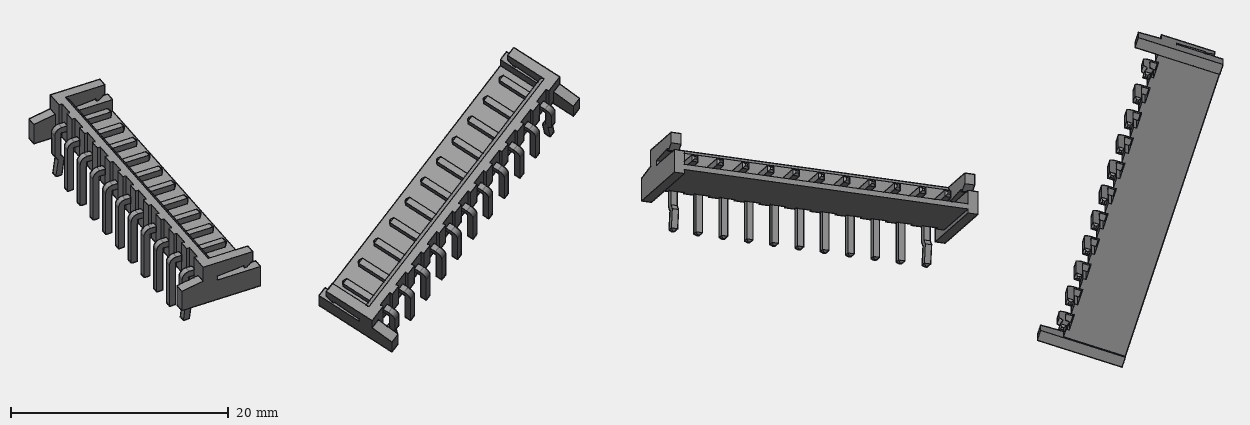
import cadquery as cq


pin_count = 11
length = 30.0
pitch = length / (pin_count + 1)

body_height = 4.2
body_depth = 5.97
end_wall = 1.0
long_wall = 1.47
underside = 0.4
floor_top = 0.9
lead_in = 0.42

recess_width = 1.5
recess_depth = 0.3

arm_reach = 2.22
arm_tip_top = 2.22
arm_root_top = 2.6
slot_bottom = 2.22
slot_end_top = 2.67
roof_end_y = 4.23
roof_end_z = 2.9
barb_z = 2.65
barb_front_y = 4.3
barb_back_y = 4.5
latch_back = 5.15
latch_tip_z = 3.15

pin_size = 0.63
pin_top = 2.4
pin_end_y = 5.0
pin_outer_y = -1.02
pin_bottom = -3.2
bend_outer_radius = 0.72
bend_inner_radius = bend_outer_radius - pin_size
tip_chamfer = 0.2

kink_start_z = -0.7
kink_peak_z = -1.2
kink_peak_shift = 0.35
kink_tip_shift = 0.1

cavity_length = length - 2 * end_wall
pin_inner_y = pin_outer_y + pin_size
pin_positions = [(i - (pin_count - 1) / 2) * pitch for i in range(pin_count)]


def prism(points, width, center_x):
    """Extrude a Y-Z outline along X, centred on center_x."""
    plane = cq.Workplane("YZ", origin=(center_x - width / 2, 0, 0))
    return plane.polyline(points).close().extrude(width)


def make_trough():
    """Floor and long wall, with a 45 degree lead-in on the wall's inner top edge."""
    return prism(
        [
            (0, underside),
            (body_depth, underside),
            (body_depth, floor_top),
            (long_wall, floor_top),
            (long_wall, body_height - lead_in),
            (long_wall - lead_in, body_height),
            (0, body_height),
        ],
        cavity_length,
        0,
    )


def make_end_wall(center_x):
    """End wall with forward arm, tapering slot and barbed latch."""
    return prism(
        [
            (-arm_reach, 0),
            (body_depth, 0),
            (body_depth, slot_bottom),
            (long_wall, slot_bottom),
            (long_wall, slot_end_top),
            (roof_end_y, roof_end_z),
            (barb_front_y, barb_z),
            (barb_back_y, barb_z),
            (latch_back, latch_tip_z),
            (latch_back, body_height),
            (0, body_height),
            (0, arm_root_top),
            (-arm_reach, arm_tip_top),
        ],
        end_wall,
        center_x,
    )


def make_recess(center_x):
    """Full-height cutter for the groove behind one pin."""
    return prism(
        [
            (0, underside),
            (recess_depth, underside),
            (recess_depth, body_height),
            (0, body_height),
        ],
        recess_width,
        center_x,
    )


def make_pin(center_x, kinked):
    """Square pin: horizontal contact, right-angle bend and leg, chamfered at both ends."""
    tip_shift = kink_tip_shift if kinked else 0
    front_kink = []
    back_kink = []
    if kinked:
        front_kink = [
            (pin_outer_y, kink_start_z),
            (pin_outer_y + kink_peak_shift, kink_peak_z),
        ]
        back_kink = [
            (pin_inner_y + kink_peak_shift, kink_peak_z),
            (pin_inner_y, kink_start_z),
        ]
    outline = [
        (pin_end_y, pin_top),
        (pin_outer_y, pin_top),
        *front_kink,
        (pin_outer_y + tip_shift, pin_bottom),
        (pin_inner_y + tip_shift, pin_bottom),
        *back_kink,
        (pin_inner_y, pin_top - pin_size),
        (pin_end_y, pin_top - pin_size),
    ]
    pin = prism(outline, pin_size, center_x)
    outer_corner = cq.NearestToPointSelector((center_x, pin_outer_y, pin_top))
    inner_corner = cq.NearestToPointSelector((center_x, pin_inner_y, pin_top - pin_size))
    pin = pin.edges("|X").edges(outer_corner).fillet(bend_outer_radius)
    pin = pin.edges("|X").edges(inner_corner).fillet(bend_inner_radius)
    pin = pin.faces(">Y").chamfer(tip_chamfer)
    return pin.faces("<Z").chamfer(tip_chamfer)


result = make_trough()
for side in (-1, 1):
    result = result.union(make_end_wall(side * (length - end_wall) / 2))
for x in pin_positions:
    result = result.cut(make_recess(x))
for index, x in enumerate(pin_positions):
    is_end_pin = index in (0, pin_count - 1)
    result = result.union(make_pin(x, is_end_pin))